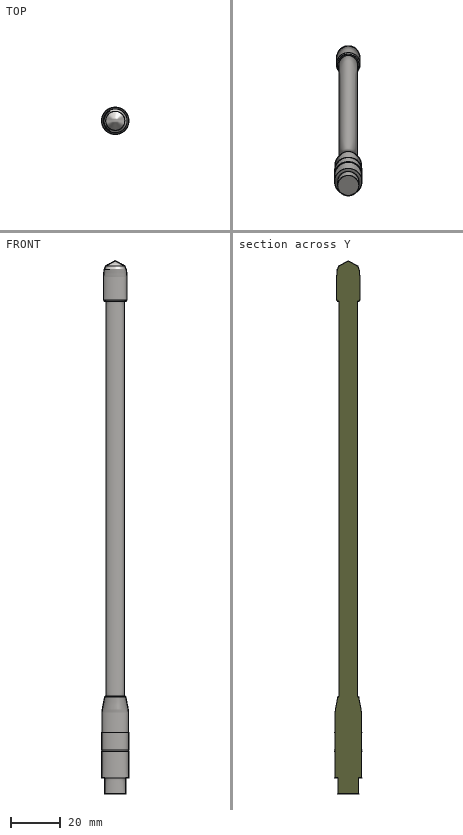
import cadquery as cq

TOTAL_HEIGHT = 215.14
PLUG_TOP = 6.5
SLEEVE_GROOVE_Z = 17.35
SLEEVE_STEP_Z = 24.8
SLEEVE_EDGE_Z = 32.7
TAPER_START = 34.0
TAPER_TOP = 39.6
CAP_BOTTOM = 198.75
CAP_TAPER_START = 208.5
CAP_TAPER_MIDDLE = 209.9
CAP_SHOULDER = 211.6
TIP_BASE = 213.1

PLUG_RADIUS = 4.25
SLEEVE_RADIUS = 5.52
UPPER_SLEEVE_RADIUS = 5.42
TAPER_START_RADIUS = 5.3
TAPER_TOP_RADIUS = 4.3
ROD_RADIUS = 3.75
CAP_RADIUS = 4.8
CAP_MIDDLE_RADIUS = 4.7
CAP_SHOULDER_RADIUS = 4.5
TIP_BASE_RADIUS = 3.85

TAPER_CHAMFER = 0.5
CAP_CHAMFER = 0.5
GROOVE_DEPTH = 0.1
GROOVE_WIDTH = 0.6


def make_body():
    """Plug, sleeve, rod and pointed cap as one turned profile (radius, height)."""
    profile = (
        cq.Workplane("XZ")
        .moveTo(0, 0)
        .lineTo(PLUG_RADIUS, 0)
        .lineTo(PLUG_RADIUS, PLUG_TOP)
        .lineTo(SLEEVE_RADIUS, PLUG_TOP)
        .lineTo(SLEEVE_RADIUS, SLEEVE_STEP_Z)
        .lineTo(UPPER_SLEEVE_RADIUS, SLEEVE_STEP_Z)
        .lineTo(UPPER_SLEEVE_RADIUS, SLEEVE_EDGE_Z)
        .lineTo(TAPER_START_RADIUS, TAPER_START)
        .lineTo(TAPER_TOP_RADIUS, TAPER_TOP - TAPER_CHAMFER)
        .lineTo(TAPER_TOP_RADIUS - TAPER_CHAMFER, TAPER_TOP)
        .lineTo(ROD_RADIUS, TAPER_TOP)
        .lineTo(ROD_RADIUS, CAP_BOTTOM)
        .lineTo(CAP_RADIUS - CAP_CHAMFER, CAP_BOTTOM)
        .lineTo(CAP_RADIUS, CAP_BOTTOM + CAP_CHAMFER)
        .lineTo(CAP_RADIUS, CAP_TAPER_START)
        .lineTo(CAP_MIDDLE_RADIUS, CAP_TAPER_MIDDLE)
        .lineTo(CAP_SHOULDER_RADIUS, CAP_SHOULDER)
        .lineTo(TIP_BASE_RADIUS, TIP_BASE)
        .lineTo(0, TOTAL_HEIGHT)
        .close()
    )
    return profile.revolve(360, (0, 0, 0), (0, 1, 0))


def make_sleeve_groove():
    """Shallow ring removed from the lower part of the sleeve."""
    return (
        cq.Workplane("XY")
        .workplane(offset=SLEEVE_GROOVE_Z - GROOVE_WIDTH / 2)
        .circle(SLEEVE_RADIUS + GROOVE_DEPTH)
        .circle(SLEEVE_RADIUS - GROOVE_DEPTH)
        .extrude(GROOVE_WIDTH)
    )


result = make_body().cut(make_sleeve_groove())